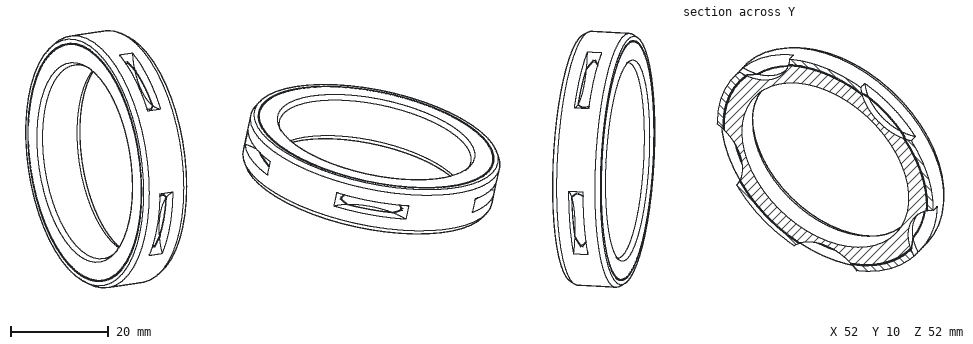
import cadquery as cq
import math


outer_radius = 26.0
bore_radius = 20.0
width = 10.0
half_width = width / 2

chamfer_length = 1.0
chamfer_depth = chamfer_length * math.tan(math.radians(30))

tooth_tip_radius = 24.35
tooth_depth = 2.0
tooth_flank = tooth_depth
tooth_tip_half = 0.25
labyrinth_gap = 0.2

slot_count = 5
slot_width = 3.0
slot_depth = 4.5
cutter_radius = 10.0
cutter_offset = outer_radius - slot_depth + cutter_radius
first_slot_angle = -90


def labyrinth_line(clearance):
    """Radius and Y of the labyrinth corners from the -Y face to the +Y face."""
    tip = tooth_tip_radius + clearance
    root = tip - tooth_depth
    root_start = tooth_tip_half + tooth_flank
    root_end = root_start + 2 * tooth_tip_half
    groove_end = root_end + tooth_flank
    half_line = [
        (tip, tooth_tip_half),
        (root, root_start),
        (root, root_end),
        (tip, groove_end),
        (tip, half_width),
    ]
    mirrored = [(radius, -y) for radius, y in reversed(half_line)]
    return mirrored + half_line


def revolve_ring(section):
    """Revolve a closed section, given as radius and Y, around the Y axis."""
    return cq.Workplane("XY").polyline(section).close().revolve(360, (0, 0, 0), (0, 1, 0))


def slot_cutter(angle):
    """Disc cutter whose centre lies outside the rim, at an angle from +X toward +Z."""
    center_x = cutter_offset * math.cos(math.radians(angle))
    center_z = cutter_offset * math.sin(math.radians(angle))
    return (
        cq.Workplane("XZ")
        .center(center_x, center_z)
        .circle(cutter_radius)
        .extrude(slot_width / 2, both=True)
    )


def make_inner_ring():
    """Ring with the chamfered bore and the labyrinth on its outside."""
    bore_side = [
        (bore_radius + chamfer_depth, half_width),
        (bore_radius, half_width - chamfer_length),
        (bore_radius, -half_width + chamfer_length),
        (bore_radius + chamfer_depth, -half_width),
    ]
    return revolve_ring(labyrinth_line(0) + bore_side)


def make_outer_ring():
    """Ring with the chamfered rim and the labyrinth, one gap larger, on its inside."""
    rim_side = [
        (outer_radius - chamfer_depth, half_width),
        (outer_radius, half_width - chamfer_length),
        (outer_radius, -half_width + chamfer_length),
        (outer_radius - chamfer_depth, -half_width),
    ]
    return revolve_ring(labyrinth_line(labyrinth_gap) + rim_side)


inner_ring = make_inner_ring()
outer_ring = make_outer_ring()

for index in range(slot_count):
    cutter = slot_cutter(first_slot_angle + index * 360 / slot_count)
    inner_ring = inner_ring.cut(cutter)
    outer_ring = outer_ring.cut(cutter)

result = cq.Compound.makeCompound([inner_ring.solids().val(), outer_ring.solids().val()])